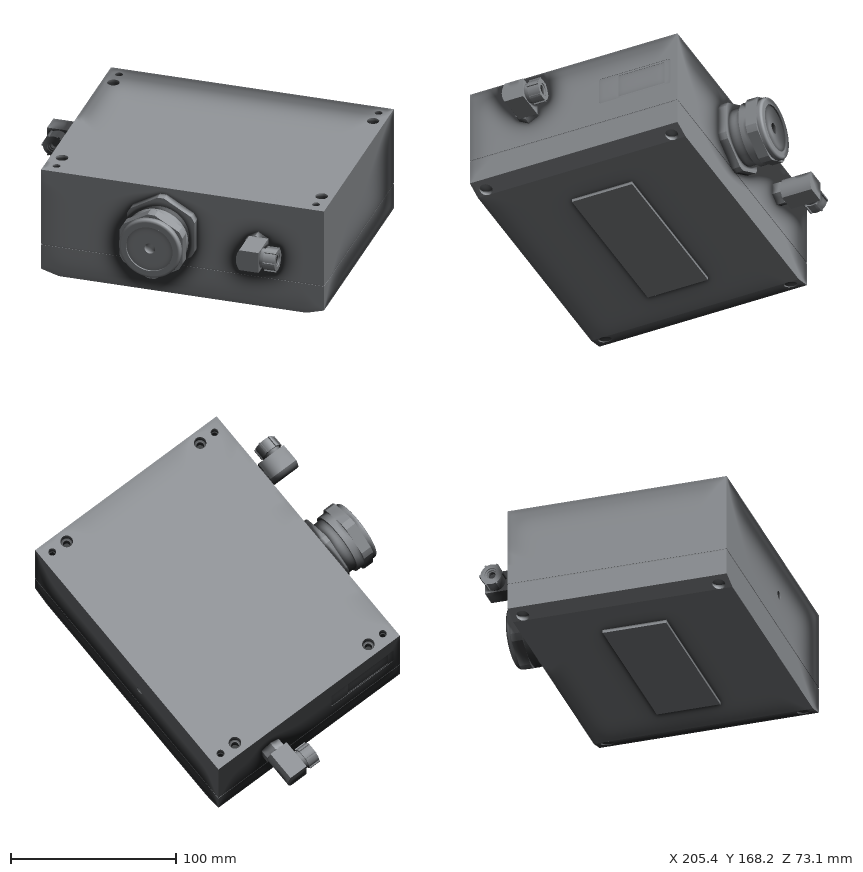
import cadquery as cq
import math

BOX_X = 179.8
BOX_Y = 139.7
BOX_Z = 71.1
BEVEL_RUN = 11.3
BEVEL_RISE = 3.3
SEAM_DROP = 50.5
SEAM_WIDTH = 0.8
SEAM_DEPTH = 0.2

FOOT_X = 105.5
FOOT_Y = 40.5
FOOT_THICKNESS = 2.0
FOOT_SHIFT_Y = -1.0

SCREW_INSET = 7.5
SCREW_BORE_D = 3.5
SCREW_MOUTH_D = 4.7
MOUNT_PITCH_Y = 102.8
MOUNT_BORE_D = 4.7
MOUNT_MOUTH_D = 7.6
MOUTH_DEPTH = 5.1
BORE_DEPTH = 10.3
HEAD_POCKET_D = 8.0
HEAD_POCKET_TOP = 2.7

LABEL_Y = 48.0
LABEL_Z = 18.5
LABEL_CORNER_R = 1.5
LABEL_GAP = 4.7
LABEL_DROP = 27.0
WINDOW_Y = 31.0
WINDOW_Z = 15.8
WINDOW_GAP = 8.8
RECESS_STEP = 0.2

AXIS_Z = BOX_Z - 28.0

GLAND_X = -12.1
FLANGE_FLATS = 43.0
FLANGE_CORNER_D = 47.3
FLANGE_LENGTH = 5.5
NECK_D = 36.2
NECK_LENGTH = 7.5
COLLAR_D = 39.9
COLLAR_LENGTH = 5.0
CAP_CORNER_D = 43.5
CAP_HEX_LENGTH = 7.0
RIM_D = 39.5
RIM_LENGTH = 3.5
RIM_ROUND = 1.6
SEAL_D = 29.5
SEAL_DEPTH = 1.0
CABLE_BORE_D = 6.8
PASSAGE_D = 5.3
GLAND_LENGTH = FLANGE_LENGTH + NECK_LENGTH + COLLAR_LENGTH + CAP_HEX_LENGTH + RIM_LENGTH

SIDE_ELBOW_Y = BOX_Y / 2 - 39.9
FRONT_ELBOW_X = 48.0
ELBOW_HEX_CORNERS = 15.0
ELBOW_HEX_LENGTH = 5.5
ELBOW_LENGTH = 19.7
ELBOW_HEIGHT = 13.5
ELBOW_FRONT = 8.2
ELBOW_SHOULDER = 4.1
ELBOW_BACK = 6.2
OUTLET_REACH = 18.0
STUB_D = 12.0
STUB_LENGTH = 2.5
NUT_D = ELBOW_HEIGHT
NUT_LENGTH = 7.6
RIB_COUNT = 6
RIB_TIP_D = 15.2
RIB_WIDTH = 1.2

NUT_BORE_STEPS = ((8.2, 0.6), (6.0, 1.5), (4.5, 4.1))


def cylinder(diameter, length):
    return cq.Workplane("XY").circle(diameter / 2).extrude(length)


def hexagon(corner_diameter, length):
    """Hexagonal prism with two of its corners on the local X axis."""
    return cq.Workplane("XY").polygon(6, corner_diameter).extrude(length)


def enclosure():
    half = BOX_X / 2
    profile = [
        (-half, BOX_Z),
        (half, BOX_Z),
        (half, BEVEL_RISE),
        (half - BEVEL_RUN, 0),
        (-half + BEVEL_RUN, 0),
        (-half, BEVEL_RISE),
    ]
    body = cq.Workplane("XZ").polyline(profile).close().extrude(BOX_Y / 2, both=True)
    seam = (
        cq.Workplane("XY", origin=(0, 0, BOX_Z - SEAM_DROP - SEAM_WIDTH))
        .rect(BOX_X, BOX_Y)
        .rect(BOX_X - 2 * SEAM_DEPTH, BOX_Y - 2 * SEAM_DEPTH)
        .extrude(SEAM_WIDTH)
    )
    foot = (
        cq.Workplane("XY", origin=(0, FOOT_SHIFT_Y, -FOOT_THICKNESS))
        .rect(FOOT_X, FOOT_Y)
        .extrude(FOOT_THICKNESS)
    )
    return body.cut(seam).union(foot)


def drill_corners(body):
    hole_span_x = BOX_X - 2 * SCREW_INSET
    screw_span_y = BOX_Y - 2 * SCREW_INSET
    top = cq.Workplane("XY", origin=(0, 0, BOX_Z))
    for span_y, bore_d, mouth_d in (
        (screw_span_y, SCREW_BORE_D, SCREW_MOUTH_D),
        (MOUNT_PITCH_Y, MOUNT_BORE_D, MOUNT_MOUTH_D),
    ):
        places = top.rect(hole_span_x, span_y, forConstruction=True).vertices()
        body = body.cut(places.circle(bore_d / 2).extrude(-BORE_DEPTH))
        body = body.cut(places.circle(mouth_d / 2).extrude(-MOUTH_DEPTH))
    pockets = (
        cq.Workplane("XY")
        .rect(hole_span_x, screw_span_y, forConstruction=True)
        .vertices()
        .circle(HEAD_POCKET_D / 2)
        .extrude(HEAD_POCKET_TOP)
    )
    return body.cut(pockets)


def label_recess():
    def panel(size_y, size_z, gap, depth):
        centre_y = -BOX_Y / 2 + gap + size_y / 2
        return cq.Workplane("XY").box(2 * depth, size_y, size_z).translate(
            (-BOX_X / 2, centre_y, BOX_Z - LABEL_DROP)
        )

    label = panel(LABEL_Y, LABEL_Z, LABEL_GAP, RECESS_STEP).edges("|X").fillet(LABEL_CORNER_R)
    window = panel(WINDOW_Y, WINDOW_Z, WINDOW_GAP, 2 * RECESS_STEP)
    return label.union(window)


def cable_gland():
    """Gland built along +Z from its mounting face, hexagon corners on X."""
    flange = hexagon(FLANGE_FLATS / math.cos(math.pi / 6), FLANGE_LENGTH)
    flange = flange.intersect(cylinder(FLANGE_CORNER_D, FLANGE_LENGTH))
    neck = cylinder(NECK_D, NECK_LENGTH)
    collar = cylinder(COLLAR_D, COLLAR_LENGTH)
    cap = hexagon(COLLAR_D / math.cos(math.pi / 6), CAP_HEX_LENGTH)
    cap = cap.intersect(cylinder(CAP_CORNER_D, CAP_HEX_LENGTH))
    rim = cylinder(RIM_D, RIM_LENGTH).faces(">Z").edges().fillet(RIM_ROUND)
    rim = rim.cut(cylinder(SEAL_D, SEAL_DEPTH).translate((0, 0, RIM_LENGTH - SEAL_DEPTH)))

    gland = flange
    height = FLANGE_LENGTH
    for section, length in (
        (neck, NECK_LENGTH),
        (collar, COLLAR_LENGTH),
        (cap, CAP_HEX_LENGTH),
        (rim, RIM_LENGTH),
    ):
        gland = gland.union(section.translate((0, 0, height)))
        height += length
    return gland.cut(cylinder(CABLE_BORE_D, GLAND_LENGTH))


def outlet_nut():
    """Ribbed union nut along +Z with a stepped bore in its outer face."""
    nut = cylinder(NUT_D, NUT_LENGTH)
    rib_reach = RIB_TIP_D / 2
    rib = cq.Workplane("XY").center(rib_reach / 2, 0).rect(rib_reach, RIB_WIDTH).extrude(NUT_LENGTH)
    for index in range(RIB_COUNT):
        nut = nut.union(rib.rotate((0, 0, 0), (0, 0, 1), index * 360 / RIB_COUNT))
    for diameter, depth in NUT_BORE_STEPS:
        nut = nut.cut(cylinder(diameter, depth).translate((0, 0, NUT_LENGTH - depth)))
    return nut


def elbow():
    """Elbow leaving its mounting face along -X, with the outlet towards -Y."""
    half_height = ELBOW_HEIGHT / 2
    base = hexagon(ELBOW_HEX_CORNERS, ELBOW_HEX_LENGTH).rotate((0, 0, 0), (0, 1, 0), -90)
    body = (
        cq.Workplane("YZ", origin=(-ELBOW_HEX_LENGTH, 0, 0))
        .moveTo(-ELBOW_FRONT, -half_height)
        .lineTo(ELBOW_SHOULDER, -half_height)
        .threePointArc((ELBOW_BACK, 0), (ELBOW_SHOULDER, half_height))
        .lineTo(-ELBOW_FRONT, half_height)
        .close()
        .extrude(-ELBOW_LENGTH)
    )
    outlet = cylinder(STUB_D, STUB_LENGTH).union(outlet_nut().translate((0, 0, STUB_LENGTH)))
    outlet = outlet.rotate((0, 0, 0), (1, 0, 0), 90).translate((-OUTLET_REACH, -ELBOW_FRONT, 0))
    return base.union(body).union(outlet)


body = drill_corners(enclosure()).cut(label_recess())

gland = cable_gland().rotate((0, 0, 0), (0, 0, 1), 90).rotate((0, 0, 0), (1, 0, 0), 90)
body = body.union(gland.translate((GLAND_X, -BOX_Y / 2, AXIS_Z)))
passage = cylinder(PASSAGE_D, BOX_Y).rotate((0, 0, 0), (1, 0, 0), 90)
body = body.cut(passage.translate((GLAND_X, BOX_Y / 2, AXIS_Z)))

side_elbow = elbow().translate((-BOX_X / 2, SIDE_ELBOW_Y, AXIS_Z))
front_elbow = elbow().rotate((0, 0, 0), (0, 0, 1), 90).translate((FRONT_ELBOW_X, -BOX_Y / 2, AXIS_Z))
result = body.union(side_elbow).union(front_elbow)